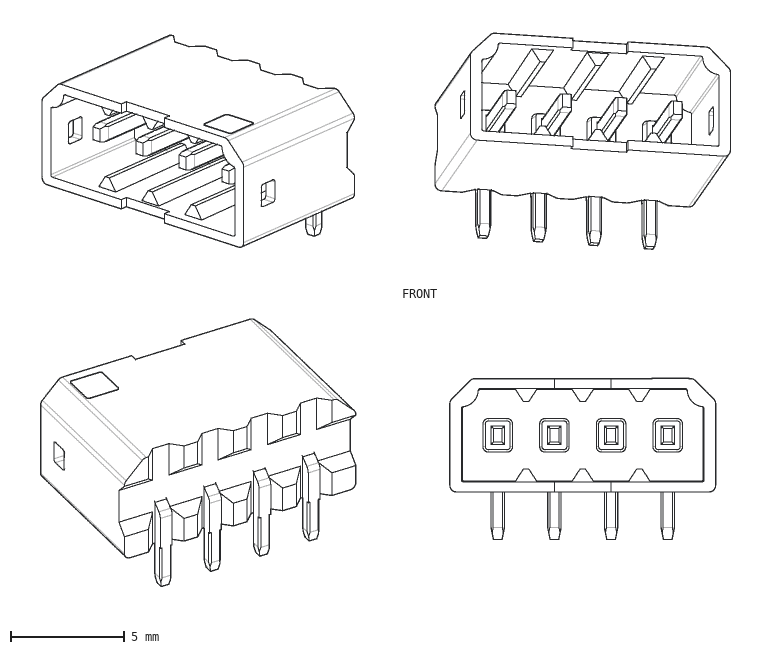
import cadquery as cq
import math


HOUSING_WIDTH = 11.72
HOUSING_DEPTH = 7.5
HOUSING_HEIGHT = 5.0
TOP_CHAMFER = 0.98
CORNER_RADIUS = 0.3
FRONT_Y = -HOUSING_DEPTH / 2
REAR_Y = HOUSING_DEPTH / 2

PIN_COUNT = 4
PITCH = 2.5
PIN_XS = [(i - (PIN_COUNT - 1) / 2) * PITCH for i in range(PIN_COUNT)]
CONTACT_Z = HOUSING_HEIGHT / 2

SIDE_WALL = 0.52
FLOOR_WALL = 0.45
CAVITY_DEPTH = 5.63
CAVITY_DRAFT_ANGLE = 0.4
CAVITY_EDGE_RADIUS = 0.09
CAVITY_WIDTH = HOUSING_WIDTH - 2 * SIDE_WALL
CAVITY_HEIGHT = HOUSING_HEIGHT - 2 * FLOOR_WALL
CAVITY_BACK_Y = FRONT_Y + CAVITY_DEPTH
CORNER_LOBE_RADIUS = 0.74
CORNER_LOBE_DROP = 0.06

RIB_BASE_WIDTH = 0.98
RIB_TIP_WIDTH = 0.23
RIB_HEIGHT = 0.57
RIB_SETBACK = 0.5
RIB_XS = [(i - (PIN_COUNT - 2) / 2) * PITCH for i in range(PIN_COUNT - 1)]

COLLAR_WIDTH = 1.3
COLLAR_HEIGHT = 1.48
COLLAR_LENGTH = 0.4
COLLAR_INSET = 0.1
COLLAR_CORNER_RADIUS = 0.23
COLLAR_FRONT_Y = CAVITY_BACK_Y - COLLAR_LENGTH

FRONT_NOTCH_DEPTH = 0.34
WINDOW_LENGTH = 0.91
WINDOW_HEIGHT = 1.07
WINDOW_SETBACK = 1.2
WINDOW_BOTTOM_Z = 1.6
WINDOW_RADIUS = 0.13
REAR_CUT_DEPTH = 0.49
REAR_NOTCH_FLOOR_WIDTH = 0.82
REAR_SLOT_BOTTOM_Z = 1.69
REAR_SLOT_TOP_Z = 3.35

PAD_SIZE = 1.62
PAD_RAISE = 0.02
PAD_X = 3.87
PAD_SETBACK = 0.49
PAD_RADIUS = 0.12

PIN_WIDTH = 0.6
PIN_EDGE_BEVEL = 0.09
CONTACT_HEIGHT = 0.82
CONTACT_SETBACK = 1.23
CONTACT_TAPER_LENGTH = 0.46
TAIL_LENGTH = 2.1
TAIL_TAPER_LENGTH = 0.53
TAPER_INSET = 0.1
BEND_START_Z = 1.75
BEND_SLOPE_ANGLE = 39.0
BEND_RADIUS = 0.35
CONTACT_TIP_Y = FRONT_Y + CONTACT_SETBACK
CONTACT_TOP_Z = CONTACT_Z + CONTACT_HEIGHT / 2
CONTACT_BOTTOM_Z = CONTACT_Z - CONTACT_HEIGHT / 2
TAIL_FRONT_Y = REAR_Y - PIN_WIDTH


def inset_taper_angle(inset, length):
    """Taper that draws each side in by `inset` over `length`."""
    return math.degrees(math.atan(inset / length))


def housing_block():
    """Rounded bar along Y with its two upper long edges chamfered."""
    return (
        cq.Workplane("XY")
        .box(HOUSING_WIDTH, HOUSING_DEPTH, HOUSING_HEIGHT, centered=(True, True, False))
        .edges("|Y and >Z")
        .chamfer(TOP_CHAMFER)
        .edges("|Y")
        .fillet(CORNER_RADIUS)
    )


def shroud_cavity():
    """Drafted pocket whose upper corners are filled by round lobes."""
    lobe_z = HOUSING_HEIGHT - FLOOR_WALL - CORNER_LOBE_DROP
    lobes = (
        cq.Workplane("XZ", origin=(0, FRONT_Y, 0))
        .pushPoints([(side * CAVITY_WIDTH / 2, lobe_z) for side in (-1, 1)])
        .circle(CORNER_LOBE_RADIUS)
        .extrude(-CAVITY_DEPTH)
    )
    return (
        cq.Workplane("XZ", origin=(0, FRONT_Y, HOUSING_HEIGHT / 2))
        .rect(CAVITY_WIDTH, CAVITY_HEIGHT)
        .extrude(-CAVITY_DEPTH, taper=CAVITY_DRAFT_ANGLE)
        .cut(lobes)
        .edges("not(#Y or <Y or >Y)")
        .fillet(CAVITY_EDGE_RADIUS)
    )


def keying_rib(x, wall_z, direction):
    """Trapezoidal rib rising from the wall face at `wall_z`; direction is +1 up or -1 down."""
    root_z = wall_z - direction * FLOOR_WALL / 2
    tip_z = wall_z + direction * RIB_HEIGHT
    return (
        cq.Workplane("XZ", origin=(x, FRONT_Y + RIB_SETBACK, 0))
        .polyline(
            [
                (-RIB_BASE_WIDTH / 2, root_z),
                (-RIB_BASE_WIDTH / 2, wall_z),
                (-RIB_TIP_WIDTH / 2, tip_z),
                (RIB_TIP_WIDTH / 2, tip_z),
                (RIB_BASE_WIDTH / 2, wall_z),
                (RIB_BASE_WIDTH / 2, root_z),
            ]
        )
        .close()
        .extrude(-(CAVITY_DEPTH - RIB_SETBACK))
    )


def contact_collar(x):
    """Rounded collar that narrows towards the shroud opening."""
    return (
        cq.Workplane("XZ", origin=(x, CAVITY_BACK_Y, CONTACT_Z))
        .sketch()
        .rect(COLLAR_WIDTH, COLLAR_HEIGHT)
        .vertices()
        .fillet(COLLAR_CORNER_RADIUS)
        .finalize()
        .extrude(COLLAR_LENGTH, taper=inset_taper_angle(COLLAR_INSET, COLLAR_LENGTH))
    )


def front_notch():
    """Shallow notch one pitch wide through the front rims above and below the cavity."""
    return cq.Workplane("XY", origin=(0, FRONT_Y, 0)).box(
        PITCH, 2 * FRONT_NOTCH_DEPTH, HOUSING_HEIGHT, centered=(True, True, False)
    )


def side_windows():
    """Rounded window through both side walls."""
    return (
        cq.Workplane("XY")
        .box(HOUSING_WIDTH, WINDOW_LENGTH, WINDOW_HEIGHT)
        .edges("|X")
        .fillet(WINDOW_RADIUS)
        .translate((0, FRONT_Y + WINDOW_SETBACK + WINDOW_LENGTH / 2, WINDOW_BOTTOM_Z + WINDOW_HEIGHT / 2))
    )


def flared_outline(plane, origin, low, high):
    """Trapezoid cut into the rear face, with 45 degree sides and its floor from `low` to `high`."""
    floor_y = REAR_Y - REAR_CUT_DEPTH
    return (
        cq.Workplane(plane, origin=origin)
        .moveTo(low, floor_y)
        .lineTo(high, floor_y)
        .lineTo(high + REAR_CUT_DEPTH, REAR_Y)
        .lineTo(low - REAR_CUT_DEPTH, REAR_Y)
        .close()
    )


def rear_notch(x):
    """Upright notch over the full height, behind one pin."""
    half_floor = REAR_NOTCH_FLOOR_WIDTH / 2
    return flared_outline("XY", (x, 0, 0), -half_floor, half_floor).extrude(HOUSING_HEIGHT)


def rear_slot():
    """Level slot along the full width of the rear face."""
    origin = (-HOUSING_WIDTH / 2, 0, 0)
    return flared_outline("ZY", origin, REAR_SLOT_BOTTOM_Z, REAR_SLOT_TOP_Z).extrude(-HOUSING_WIDTH)


def top_pad():
    """Thin rounded square on the top face."""
    return (
        cq.Workplane("XY")
        .box(PAD_SIZE, PAD_SIZE, PAD_RAISE, centered=(True, True, False))
        .edges("|Z")
        .fillet(PAD_RADIUS)
        .translate((PAD_X, FRONT_Y + PAD_SETBACK + PAD_SIZE / 2, HOUSING_HEIGHT))
    )


def bevelled_post(width, height, length, taper_length):
    """Bar rising from Z = 0 with bevelled long edges and a tapered upper end."""
    bar = (
        cq.Workplane("XY")
        .box(width, height, length, centered=(True, True, False))
        .edges("|Z")
        .chamfer(PIN_EDGE_BEVEL)
    )
    end_block = (
        cq.Workplane("XY")
        .box(width, height, taper_length, centered=(True, True, False))
        .translate((0, 0, length - taper_length))
    )
    end_frustum = (
        end_block.faces("<Z")
        .wires()
        .toPending()
        .extrude(taper_length, combine=False, taper=inset_taper_angle(TAPER_INSET, taper_length))
    )
    return bar.cut(end_block.cut(end_frustum))


def pin_bend(x):
    """Plain right-angle part of the pin inside the housing, with a sloped outer bend."""
    slope_run = (CONTACT_TOP_Z - BEND_START_Z) / math.tan(math.radians(BEND_SLOPE_ANGLE))
    return (
        cq.Workplane("YZ", origin=(x - PIN_WIDTH / 2, 0, 0))
        .moveTo(COLLAR_FRONT_Y, CONTACT_BOTTOM_Z)
        .lineTo(TAIL_FRONT_Y, CONTACT_BOTTOM_Z)
        .lineTo(TAIL_FRONT_Y, 0)
        .lineTo(REAR_Y, 0)
        .lineTo(REAR_Y, BEND_START_Z)
        .lineTo(REAR_Y - slope_run, CONTACT_TOP_Z)
        .lineTo(COLLAR_FRONT_Y, CONTACT_TOP_Z)
        .close()
        .extrude(PIN_WIDTH)
        .edges(cq.selectors.NearestToPointSelector((x, REAR_Y, BEND_START_Z)))
        .fillet(BEND_RADIUS)
    )


def contact_pin(x):
    """Bent pin with a contact in front of the collar and a solder tail below the housing."""
    contact = (
        bevelled_post(PIN_WIDTH, CONTACT_HEIGHT, COLLAR_FRONT_Y - CONTACT_TIP_Y, CONTACT_TAPER_LENGTH)
        .rotate((0, 0, 0), (1, 0, 0), 90)
        .translate((x, COLLAR_FRONT_Y, CONTACT_Z))
    )
    tail = (
        bevelled_post(PIN_WIDTH, PIN_WIDTH, TAIL_LENGTH, TAIL_TAPER_LENGTH)
        .rotate((0, 0, 0), (1, 0, 0), 180)
        .translate((x, REAR_Y - PIN_WIDTH / 2, 0))
    )
    return pin_bend(x).union(contact).union(tail)


def header_housing(pins):
    """Housing with all its cut-outs and with passages that fit the given pins."""
    body = housing_block().cut(shroud_cavity())
    for x in RIB_XS:
        body = body.union(keying_rib(x, FLOOR_WALL, 1))
        body = body.union(keying_rib(x, HOUSING_HEIGHT - FLOOR_WALL, -1))
    for x in PIN_XS:
        body = body.union(contact_collar(x))
        body = body.cut(rear_notch(x))
    body = body.cut(front_notch()).cut(side_windows()).cut(rear_slot()).union(top_pad())
    for pin in pins:
        body = body.cut(pin)
    return body


pins = [contact_pin(x) for x in PIN_XS]
housing = header_housing(pins)

result = cq.Compound.makeCompound([housing.val(), *[pin.val() for pin in pins]])